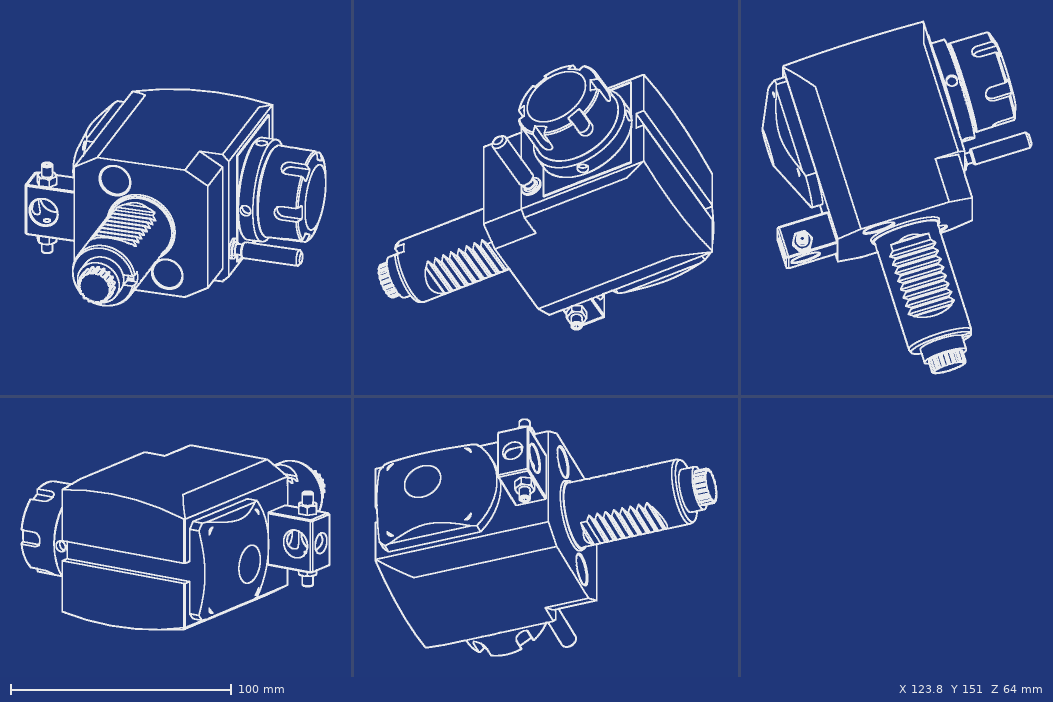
import cadquery as cq
import math


BODY_LENGTH = 84.0
BODY_HALF = 32.0
SPINDLE_FACE_X = 35.0
STEP_Y = 21.0
BEVEL_X = 11.0
BEVEL_Z = BEVEL_X * math.tan(math.radians(30))
SPINDLE_FACE_CHAMFER = 3.0
REAR_EDGE_CHAMFER = 0.5
CROWN_RADIUS = 149.0
CROWN_AXIS_X = 8.7
CROWN_HEIGHT = 31.2
CROWN_ANGLE = 14.0
REAR_SLOT_WIDTH = 9.5
REAR_SLOT_DEPTH = 4.0
PLUG_RADIUS = 7.5
PLUG_DEPTH = 0.5
PLUG_X = 12.5
PLUG_Z = 21.65

SPINDLE_Y = 55.0
PLATE_X = 35.5
PLATE_SIZE_Y = 45.0
PLATE_SIZE_Z = 53.4
RING_END_X = 43.0
RING_RADIUS = 23.5
RING_CHAMFER = 0.6
RING_HOLE_X = 39.5
RING_HOLE_RADIUS = 2.5
RING_HOLE_DEPTH = 3.0
RING_HOLE_COUNT = 4
NECK_RADIUS = 17.5
NUT_START_X = 44.2
NUT_END_X = 65.15
NUT_RADIUS = 21.1
NUT_FRONT_RADIUS = 20.9
NUT_BACK_CHAMFER = 0.6
NUT_SHOULDER_X = 62.7
NUT_SHOULDER_WIDTH = 0.7
NUT_FACE_RADIUS = 15.0
NUT_SLOT_COUNT = 6
NUT_SLOT_WIDTH = 6.7
NUT_SLOT_START_X = 52.5
NUT_SLOT_FLOOR_RADIUS = 17.0
DRILL_HALF_ANGLE = 59.0

COVER_RADIUS = 32.0
COVER_HALF_HEIGHT = 23.0
COVER_REAR_Y = 80.0
COVER_RIM_X = -37.0
COVER_TIP_X = -48.0
COVER_TIP_RADIUS = 8.75
COVER_BEVEL_X = -37.8
COVER_BEVEL_ANGLE = 30.0
COVER_SCREW_OFFSET = 17.3
COVER_SCREW_RADIUS = 3.0
COVER_SCREW_X = -39.5

BLOCK_X = -56.0
BLOCK_Y0 = 1.0
BLOCK_Y1 = 16.0
BLOCK_MID_Y = (BLOCK_Y0 + BLOCK_Y1) / 2
BLOCK_HALF_HEIGHT = 12.5
BLOCK_CHAMFER = 0.5
BLOCK_END_CHAMFER = 1.0
BORE_X = -47.0
BORE_RADIUS = 6.5
BORE_CHAMFER = 0.4
CROSS_HOLE_RADIUS = 4.75
CROSS_HOLE_END_X = -37.0
COOLANT_PORT_RADIUS_Y = 1.35
COOLANT_PORT_RADIUS_Z = 1.75
COOLANT_PORT_DEPTH = 1.0
SET_SCREW_Y = 6.0
SET_SCREW_RADIUS = 2.5
SET_SCREW_END_Z = 22.0
SET_SCREW_CHAMFER = 0.5
SET_SCREW_TIP_RADIUS = 1.5
SET_SCREW_TIP_Z = 6.25
SOCKET_WIDTH = 2.5
SOCKET_DEPTH = 2.5
LOCK_NUT_FLATS = 8.0
LOCK_NUT_HEIGHT = 4.0

PIN_Y = 26.4
PIN_Z = -17.3
PIN_RADIUS = 3.7
PIN_FLANGE_RADIUS = 4.7
PIN_FLANGE_X = 36.0
PIN_COLLAR_RADIUS = 3.3
PIN_COLLAR_END_RADIUS = 3.0
PIN_COLLAR_X = 37.0
PIN_NECK_RADIUS = 2.5
PIN_NECK_X = 39.9
PIN_SHOULDER = 0.7
PIN_END_X = 67.83
PIN_END_RADIUS = 2.4
PIN_END_CHAMFER = 1.2

SHANK_RADIUS = 15.0
SHANK_LENGTH = 55.0
SHANK_END_TAPER_LENGTH = 1.6
SHANK_END_RADIUS = 14.4
FLANGE_ROOT_RADIUS = 16.3
FLANGE_RADIUS = 16.0
FLANGE_LENGTH = 1.3
SEAT_RADIUS = 15.15
SEAT_LENGTH = 2.3
RELIEF_START_Y = -5.9
RELIEF_WALL_Y = -7.2
RELIEF_WALL_Z = 14.1
TOOTH_TOP_Z = 12.0
TOOTH_ROOT_Z = 10.3
TOOTH_COUNT = 8
TOOTH_PITCH = 4.0
RUNOUT_FLAT = 0.3
FIRST_ROOT_Y = -11.9
NOTCH_HALF_WIDTH = 2.5
NOTCH_DEPTH = 5.0
NOTCH_POCKET_HALF_WIDTH = 1.9
NOTCH_POCKET_DEPTH = 6.5
NOTCH_POCKET_END_X = 13.1
COLLAR_RADIUS = 10.0
COLLAR_END = 61.4
SPLINE_END = 67.0
SPLINE_RADIUS = 8.1
SPLINE_ROOT_RADIUS = 7.1
SPLINE_TEETH = 18
SPLINE_TOOTH_ROOT_WIDTH = 1.7
SPLINE_TOOTH_TIP_WIDTH = 0.6
SPLINE_END_CHAMFER = 0.5

HEX_CORNER_ANGLE = 30.0

OVERLAP = 1.0
X_DIR = cq.Vector(1, 0, 0)
Z_DIR = cq.Vector(0, 0, 1)


def box(x0, x1, y0, y1, z0, z1):
    return cq.Workplane("XY").box(x1 - x0, y1 - y0, z1 - z0, centered=False).translate((x0, y0, z0))


def turned_about_x(points, y, z):
    """Turn a profile of (x, radius) points about the line along X through (y, z)."""
    axis_points = [(points[0][0], 0), *points, (points[-1][0], 0)]
    return cq.Workplane("XY").polyline(axis_points).close().revolve(360, (0, 0), (1, 0)).translate((0, y, z))


def section_along_y(points, y0, y1):
    """Extrude an outline of (x, z) points from y0 to y1."""
    return cq.Workplane("XZ", origin=(0, y0, 0)).polyline(points).close().extrude(y0 - y1)


def both_sides(solid):
    return solid.union(solid.mirror("XY"))


def drill(radius, depth, start, direction):
    """Blind hole with a drill point; depth is that of the straight part."""
    straight = cq.Solid.makeCylinder(radius, depth, start, direction)
    point_height = radius / math.tan(math.radians(DRILL_HALF_ANGLE))
    point = cq.Solid.makeCone(radius, 0, point_height, start + direction * depth, direction)
    return cq.Workplane(straight).union(cq.Workplane(point))


def make_body():
    bevel_z = BODY_HALF - BEVEL_Z
    bevel_x = BODY_HALF - BEVEL_X
    left_side = [(-bevel_x, -BODY_HALF), (-BODY_HALF, -bevel_z), (-BODY_HALF, bevel_z), (-bevel_x, BODY_HALF)]
    lower_right = [(bevel_x, BODY_HALF), (BODY_HALF, bevel_z), (BODY_HALF, -bevel_z), (bevel_x, -BODY_HALF)]
    chamfer_x = SPINDLE_FACE_X - SPINDLE_FACE_CHAMFER
    chamfer_z = BODY_HALF - SPINDLE_FACE_CHAMFER
    upper_right = [
        (chamfer_x, BODY_HALF),
        (SPINDLE_FACE_X, chamfer_z),
        (SPINDLE_FACE_X, -chamfer_z),
        (chamfer_x, -BODY_HALF),
    ]
    upper = section_along_y(left_side + upper_right, STEP_Y, BODY_LENGTH)
    upper = upper.edges("|Z and <X and >Y").chamfer(REAR_EDGE_CHAMFER)

    base_radius = CROWN_RADIUS + (BODY_LENGTH - STEP_Y) * math.tan(math.radians(CROWN_ANGLE))
    crown_axis_z = CROWN_HEIGHT - CROWN_RADIUS
    for side in (1, -1):
        crown = cq.Solid.makeCone(
            base_radius,
            CROWN_RADIUS,
            BODY_LENGTH - STEP_Y,
            cq.Vector(CROWN_AXIS_X, STEP_Y, side * crown_axis_z),
            cq.Vector(0, 1, 0),
        )
        upper = upper.intersect(cq.Workplane(crown))

    body = section_along_y(left_side + lower_right, 0, STEP_Y + OVERLAP).union(upper)
    slot_half = REAR_SLOT_WIDTH / 2
    slot_floor = BODY_LENGTH - REAR_SLOT_DEPTH
    body = body.cut(box(-BODY_HALF, SPINDLE_FACE_X, slot_floor, BODY_LENGTH, -slot_half, slot_half))
    for side in (1, -1):
        plug = cq.Solid.makeCone(
            PLUG_RADIUS,
            PLUG_RADIUS - PLUG_DEPTH,
            PLUG_DEPTH,
            cq.Vector(-side * PLUG_X, 0, side * PLUG_Z),
            cq.Vector(0, 1, 0),
        )
        body = body.cut(cq.Workplane(plug))
    return body


def nut_slot():
    """Slot in the +Z side of the clamping nut, open at its front face."""
    half = NUT_SLOT_WIDTH / 2
    straight_x = NUT_SLOT_START_X + half
    return (
        cq.Workplane("XY", origin=(0, SPINDLE_Y, NUT_SLOT_FLOOR_RADIUS))
        .moveTo(NUT_END_X, -half)
        .lineTo(straight_x, -half)
        .threePointArc((NUT_SLOT_START_X, 0), (straight_x, half))
        .lineTo(NUT_END_X, half)
        .close()
        .extrude(NUT_RADIUS)
    )


def make_spindle():
    plate = box(
        SPINDLE_FACE_X - OVERLAP,
        PLATE_X,
        SPINDLE_Y - PLATE_SIZE_Y / 2,
        SPINDLE_Y + PLATE_SIZE_Y / 2,
        -PLATE_SIZE_Z / 2,
        PLATE_SIZE_Z / 2,
    )
    shoulder_end = NUT_SHOULDER_X + NUT_SHOULDER_WIDTH
    spindle = turned_about_x(
        [
            (SPINDLE_FACE_X, RING_RADIUS - RING_CHAMFER),
            (PLATE_X, RING_RADIUS - RING_CHAMFER),
            (PLATE_X + RING_CHAMFER, RING_RADIUS),
            (RING_END_X, RING_RADIUS),
            (RING_END_X, NECK_RADIUS),
            (NUT_START_X, NECK_RADIUS),
            (NUT_START_X, NUT_RADIUS - NUT_BACK_CHAMFER),
            (NUT_START_X + NUT_BACK_CHAMFER, NUT_RADIUS),
            (NUT_SHOULDER_X, NUT_FRONT_RADIUS),
            (shoulder_end, NUT_FRONT_RADIUS - NUT_SHOULDER_WIDTH),
            (NUT_END_X, NUT_FACE_RADIUS),
        ],
        SPINDLE_Y,
        0,
    )
    axis_start = (0, SPINDLE_Y, 0)
    axis_end = (1, SPINDLE_Y, 0)
    hole_start = cq.Vector(RING_HOLE_X, SPINDLE_Y, RING_RADIUS)
    ring_hole = drill(RING_HOLE_RADIUS, RING_HOLE_DEPTH, hole_start, -Z_DIR)
    for i in range(RING_HOLE_COUNT):
        spindle = spindle.cut(ring_hole.rotate(axis_start, axis_end, i * 360 / RING_HOLE_COUNT))
    slot = nut_slot().rotate(axis_start, axis_end, 90)
    for i in range(NUT_SLOT_COUNT):
        spindle = spindle.cut(slot.rotate(axis_start, axis_end, i * 360 / NUT_SLOT_COUNT))
    return plate.union(spindle)


def make_cover():
    cover = turned_about_x(
        [
            (COVER_TIP_X, COVER_TIP_RADIUS),
            (COVER_RIM_X, COVER_RADIUS),
            (OVERLAP - BODY_HALF, COVER_RADIUS),
        ],
        SPINDLE_Y,
        0,
    )
    bevel_length = COVER_BEVEL_X - COVER_TIP_X
    tip_half = COVER_HALF_HEIGHT - bevel_length * math.tan(math.radians(COVER_BEVEL_ANGLE))
    envelope = section_along_y(
        [
            (0, -COVER_HALF_HEIGHT),
            (COVER_BEVEL_X, -COVER_HALF_HEIGHT),
            (COVER_TIP_X, -tip_half),
            (COVER_TIP_X, tip_half),
            (COVER_BEVEL_X, COVER_HALF_HEIGHT),
            (0, COVER_HALF_HEIGHT),
        ],
        SPINDLE_Y - COVER_RADIUS,
        COVER_REAR_Y,
    )
    cover = cover.intersect(envelope)
    for dy in (-COVER_SCREW_OFFSET, COVER_SCREW_OFFSET):
        for dz in (-COVER_SCREW_OFFSET, COVER_SCREW_OFFSET):
            head_start = cq.Vector(COVER_SCREW_X, SPINDLE_Y + dy, dz)
            head_length = COVER_RIM_X - COVER_SCREW_X + OVERLAP
            head = cq.Solid.makeCylinder(COVER_SCREW_RADIUS, head_length, head_start, X_DIR)
            cover = cover.union(cq.Workplane(head))
    return cover


def make_set_screw():
    """Set screw with lock nut on the upper side of the coolant block."""
    nut = (
        cq.Workplane("XY", origin=(0, 0, BLOCK_HALF_HEIGHT - OVERLAP))
        .polygon(6, LOCK_NUT_FLATS, circumscribed=True)
        .extrude(LOCK_NUT_HEIGHT + OVERLAP)
    )
    corner_radius = LOCK_NUT_FLATS / math.sqrt(3)
    nut_blank = (
        cq.Workplane("XY", origin=(0, 0, BLOCK_HALF_HEIGHT - OVERLAP))
        .circle(corner_radius)
        .extrude(LOCK_NUT_HEIGHT + OVERLAP)
        .faces(">Z")
        .chamfer(SET_SCREW_CHAMFER)
    )
    screw = (
        cq.Workplane("XY", origin=(0, 0, BORE_RADIUS))
        .circle(SET_SCREW_RADIUS)
        .extrude(SET_SCREW_END_Z - BORE_RADIUS)
        .faces(">Z")
        .chamfer(SET_SCREW_CHAMFER)
    )
    tip = (
        cq.Workplane("XY", origin=(0, 0, SET_SCREW_TIP_Z))
        .circle(SET_SCREW_TIP_RADIUS)
        .extrude(BLOCK_HALF_HEIGHT - SET_SCREW_TIP_Z)
    )
    socket = (
        cq.Workplane("XY", origin=(0, 0, SET_SCREW_END_Z - SOCKET_DEPTH))
        .polygon(6, SOCKET_WIDTH, circumscribed=True)
        .extrude(SOCKET_DEPTH)
    )
    nut = nut.intersect(nut_blank).rotate((0, 0, 0), (0, 0, 1), HEX_CORNER_ANGLE)
    screw = nut.union(screw).union(tip).cut(socket)
    return screw.translate((BORE_X, SET_SCREW_Y, 0))


def make_coolant_block():
    block = box(BLOCK_X, -BODY_HALF, BLOCK_Y0, BLOCK_Y1, -BLOCK_HALF_HEIGHT, BLOCK_HALF_HEIGHT)
    block = block.edges("|X").chamfer(BLOCK_CHAMFER)
    block = block.faces("<X").chamfer(BLOCK_CHAMFER, BLOCK_END_CHAMFER)
    block_width = BLOCK_Y1 - BLOCK_Y0
    bore = (
        cq.Workplane("XZ", origin=(BORE_X, BLOCK_Y0, 0))
        .circle(BORE_RADIUS)
        .extrude(-block_width)
    )
    bore_mouth = cq.Solid.makeCone(
        BORE_RADIUS + BORE_CHAMFER,
        BORE_RADIUS,
        BORE_CHAMFER,
        cq.Vector(BORE_X, BLOCK_Y0, 0),
        cq.Vector(0, 1, 0),
    )
    cross_start = cq.Vector(BLOCK_X, BLOCK_MID_Y, 0)
    cross_hole = cq.Solid.makeCylinder(CROSS_HOLE_RADIUS, CROSS_HOLE_END_X - BLOCK_X, cross_start, X_DIR)
    coolant_port = (
        cq.Workplane("YZ", origin=(CROSS_HOLE_END_X, BLOCK_MID_Y, 0))
        .ellipse(COOLANT_PORT_RADIUS_Y, COOLANT_PORT_RADIUS_Z)
        .extrude(COOLANT_PORT_DEPTH)
    )
    block = block.cut(bore).cut(cq.Workplane(bore_mouth)).cut(cq.Workplane(cross_hole)).cut(coolant_port)
    return block.union(both_sides(make_set_screw()))


def make_coolant_pin():
    return turned_about_x(
        [
            (SPINDLE_FACE_X - OVERLAP, PIN_FLANGE_RADIUS),
            (PIN_FLANGE_X, PIN_FLANGE_RADIUS),
            (PIN_FLANGE_X, PIN_COLLAR_RADIUS),
            (PIN_COLLAR_X, PIN_COLLAR_END_RADIUS),
            (PIN_COLLAR_X, PIN_NECK_RADIUS),
            (PIN_NECK_X, PIN_NECK_RADIUS),
            (PIN_NECK_X, PIN_RADIUS - PIN_SHOULDER),
            (PIN_NECK_X + PIN_SHOULDER, PIN_RADIUS),
            (PIN_END_X - PIN_END_CHAMFER, PIN_RADIUS),
            (PIN_END_X, PIN_END_RADIUS),
        ],
        PIN_Y,
        PIN_Z,
    )


def shank_teeth_cut():
    """Material above the clamping teeth on the +Z side of the shank."""
    half_root = TOOTH_TOP_Z - TOOTH_ROOT_Z
    outline = [
        (RELIEF_START_Y, SHANK_RADIUS),
        (RELIEF_WALL_Y, RELIEF_WALL_Z),
        (RELIEF_WALL_Y, TOOTH_TOP_Z),
    ]
    for i in range(TOOTH_COUNT):
        root_y = FIRST_ROOT_Y - i * TOOTH_PITCH
        outline.append((root_y + half_root, TOOTH_TOP_Z))
        outline.append((root_y, TOOTH_ROOT_Z))
        outline.append((root_y - half_root, TOOTH_TOP_Z))
    ramp_start_y = root_y - half_root - RUNOUT_FLAT
    outline.append((ramp_start_y, TOOTH_TOP_Z))
    outline.append((ramp_start_y - (SHANK_RADIUS - TOOTH_TOP_Z), SHANK_RADIUS))
    return cq.Workplane("YZ").polyline(outline).close().extrude(SHANK_RADIUS, both=True)


def make_shank():
    shank = (
        cq.Workplane("XY")
        .moveTo(0, OVERLAP)
        .lineTo(FLANGE_ROOT_RADIUS, OVERLAP)
        .lineTo(FLANGE_ROOT_RADIUS, 0)
        .lineTo(FLANGE_RADIUS, -FLANGE_LENGTH)
        .lineTo(SEAT_RADIUS, -FLANGE_LENGTH)
        .lineTo(SHANK_RADIUS, -SEAT_LENGTH)
        .lineTo(SHANK_RADIUS, SHANK_END_TAPER_LENGTH - SHANK_LENGTH)
        .lineTo(SHANK_END_RADIUS, -SHANK_LENGTH)
        .lineTo(COLLAR_RADIUS, -SHANK_LENGTH)
        .lineTo(COLLAR_RADIUS, -COLLAR_END)
        .lineTo(0, -COLLAR_END)
        .close()
        .revolve(360, (0, 0), (0, 1))
    )
    shank = shank.cut(both_sides(shank_teeth_cut()))
    for end_x, half_width, depth in (
        (SHANK_RADIUS, NOTCH_HALF_WIDTH, NOTCH_DEPTH),
        (NOTCH_POCKET_END_X, NOTCH_POCKET_HALF_WIDTH, NOTCH_POCKET_DEPTH),
    ):
        notch = box(COLLAR_RADIUS, end_x, -SHANK_LENGTH, depth - SHANK_LENGTH, -half_width, half_width)
        shank = shank.cut(notch)
    return shank


def make_spline():
    """Splined drive end: tapered teeth around a plain core, one of them at +Z."""
    core_height = SPLINE_ROOT_RADIUS - OVERLAP
    length = SPLINE_END - COLLAR_END + OVERLAP
    start = cq.Workplane("XZ", origin=(0, OVERLAP - COLLAR_END, 0))
    tooth_outline = [
        (-SPLINE_TOOTH_ROOT_WIDTH / 2, core_height),
        (-SPLINE_TOOTH_TIP_WIDTH / 2, SPLINE_RADIUS),
        (SPLINE_TOOTH_TIP_WIDTH / 2, SPLINE_RADIUS),
        (SPLINE_TOOTH_ROOT_WIDTH / 2, core_height),
    ]
    tooth = start.polyline(tooth_outline).close().extrude(length)
    spline = start.circle(SPLINE_ROOT_RADIUS).extrude(length)
    for i in range(SPLINE_TEETH):
        spline = spline.union(tooth.rotate((0, 0, 0), (0, 1, 0), i * 360 / SPLINE_TEETH))
    blank = start.circle(SPLINE_RADIUS).extrude(length).faces("<Y").chamfer(SPLINE_END_CHAMFER)
    return spline.intersect(blank)


result = (
    make_body()
    .union(make_spindle())
    .union(make_cover())
    .union(make_coolant_block())
    .union(make_coolant_pin())
    .union(make_shank())
    .union(make_spline())
)